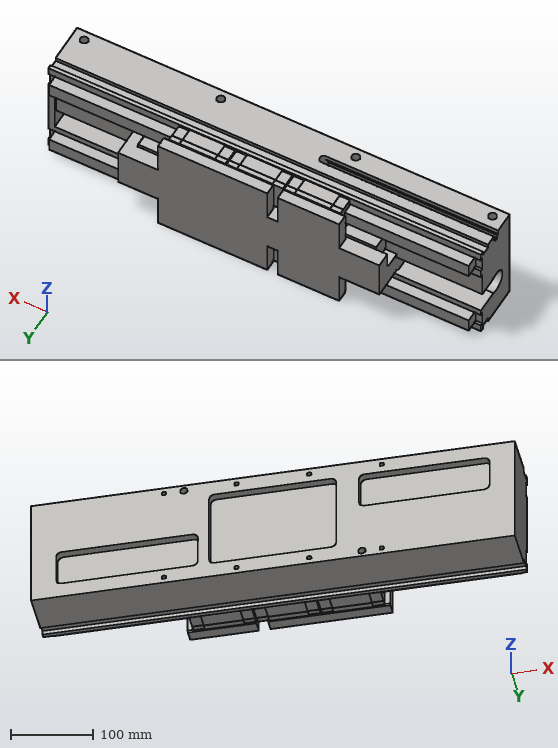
import cadquery as cq
import math


EPS = 6.0

base_length = 600.0
base_height = 148.0
base_depth = 72.0
mid_z = base_height / 2

rail_offset = 53.0
rail_width = 20.0
rail_seat_y = 68.5
rail_top_y = 86.5
rail_end_gap = 9.0

recess_top_z = 104.5
slot_center_z = 54.0
slot_width = 27.5
slot_bulb_radius = 15.5
slot_bulb_y = 33.5
slot_end_wall = 9.0

side_groove_y = 54.0
side_groove_width = 12.5
side_groove_depth = 5.5

cable_y = 34.0
cable_width = 11.0
cable_depth = 6.5
cable_inner_y = 33.5
cable_inner_width = 5.5
cable_inner_depth = 12.0
cable_hole_depth = 15.0
cable_end_x = 239.0

drill_tip_angle = 118.0
top_hole_diameter = 11.0
top_hole_depth = 15.0
top_hole_y = 12.5
top_hole_end_gap = 17.0
top_hole_inner_x = 206.5
face_hole_edge_gap = 8.5
screw_hole_diameter = 5.5
screw_hole_depth = 12.0
screw_hole_pitch = 90.0
screw_hole_count = 4
pin_hole_diameter = 9.0
pin_hole_depth = 12.0
pin_hole_x = 189.5

pocket_edge_gap = 20.5
pocket_depth = 10.0
pocket_corner_radius = 7.0
small_pocket_height = 49.0
pockets = {
    "left": (31.0, 207.0, pocket_edge_gap, pocket_edge_gap + small_pocket_height),
    "middle": (221.0, 378.5, pocket_edge_gap, base_height - pocket_edge_gap),
    "right": (
        407.0,
        569.0,
        base_height - pocket_edge_gap - small_pocket_height,
        base_height - pocket_edge_gap,
    ),
}

carriage_front_y = 114.0
core_start_x = 117.5
core_end_x = 480.0
core_half_height = 28.0
core_back_y = 70.0
neck_width = 24.0
neck_shoulder = 3.5
tip_start_y = 45.0
tip_end_y = 23.5
tip_chamfer = 6.0
tip_setback = 3.5

plate_start_x = 173.5
plate_end_x = 425.0
plate_back_y = 98.0
plate_chamfer = 2.0
notch_start_x = 258.5
notch_end_x = 273.0

block_count = 3
block_start_x = 180.5
block_length = 78.0
block_pitch = 80.0
block_width = 42.5
block_back_y = 72.5
flange_back_y = 90.5
flange_overhang = 0.5
cap_length = 14.5
cap_back_y = 74.0
cap_inset = 0.5
rail_top_clearance = 0.5
rail_side_clearance = 0.9

head_start_x = 134.0
head_end_x = 464.5
head_bottom_z = 77.0
head_front_y = 92.5
head_pocket_front_y = 94.0
head_corner_radius = 5.5


def box(x0, x1, y0, y1, z0, z1):
    """Box between the given limits."""
    return cq.Workplane("XY").box(x1 - x0, y1 - y0, z1 - z0, centered=False).translate((x0, y0, z0))


def mirrored(shape):
    """The same shape on the other side of mid height."""
    return shape.mirror("XY", (0, 0, mid_z))


def drill(diameter, depth):
    """Blind hole with a conical drill tip, cutting from the origin toward -Z."""
    radius = diameter / 2
    tip = radius / math.tan(math.radians(drill_tip_angle / 2))
    half_section = [(0, 0), (radius, 0), (radius, -depth), (0, -depth - tip)]
    return cq.Workplane("XZ").polyline(half_section).close().revolve(360, (0, 0), (0, 1))


def drill_down(diameter, depth, x, y):
    """Hole into the top face of the base."""
    return drill(diameter, depth).translate((x, y, base_height))


def drill_in(diameter, depth, x, z):
    """Hole into the mounting face of the base."""
    return drill(diameter, depth).rotate((0, 0, 0), (1, 0, 0), 90).translate((x, 0, z))


def make_rail():
    """Upper rail, seated in the base."""
    rail_z = mid_z + rail_offset
    return box(
        rail_end_gap, base_length - rail_end_gap,
        rail_seat_y, rail_top_y,
        rail_z - rail_width / 2, rail_z + rail_width / 2,
    )


def rail_seat():
    rail_z = mid_z + rail_offset
    return box(
        -EPS, base_length + EPS,
        rail_seat_y, base_depth + EPS,
        rail_z - rail_width / 2, rail_z + rail_width / 2,
    )


def motor_slot():
    """Recess behind the carriage core, and the slot with its round bulb."""
    x0 = -EPS
    x1 = base_length - slot_end_wall
    half = slot_width / 2
    recess = box(x0, x1, rail_seat_y, base_depth + EPS, slot_center_z, recess_top_z)
    slot = box(x0, x1, slot_bulb_y, base_depth + EPS, slot_center_z - half, slot_center_z + half)
    bulb = (
        cq.Workplane("YZ", origin=(x0, 0, 0))
        .center(slot_bulb_y, slot_center_z)
        .circle(slot_bulb_radius)
        .extrude(x1 - x0)
    )
    return recess.union(slot).union(bulb)


def side_groove():
    return box(
        -EPS, base_length + EPS,
        side_groove_y, side_groove_y + side_groove_width,
        base_height - side_groove_depth, base_height + EPS,
    )


def cable_groove():
    """Stepped groove from the -X end to a round hole."""
    steps = (
        (cable_y, cable_width, cable_depth),
        (cable_inner_y, cable_inner_width, cable_inner_depth),
    )
    groove = (
        cq.Workplane("XY", origin=(cable_end_x, cable_y, base_height - cable_hole_depth))
        .circle(cable_width / 2)
        .extrude(cable_hole_depth + EPS)
    )
    for center_y, width, depth in steps:
        step = box(
            -EPS, cable_end_x,
            center_y - width / 2, center_y + width / 2,
            base_height - depth, base_height + EPS,
        )
        groove = groove.union(step)
    return groove


def face_pocket(x0, x1, z0, z1):
    """Rounded pocket in the mounting face."""
    pocket = box(x0, x1, -EPS, pocket_depth, z0, z1)
    return pocket.edges("|Y").fillet(pocket_corner_radius)


def make_base():
    base = box(0, base_length, 0, base_depth, 0, base_height)
    for cutter in (rail_seat(), side_groove()):
        base = base.cut(cutter).cut(mirrored(cutter))
    base = base.cut(motor_slot()).cut(cable_groove())

    for limits in pockets.values():
        base = base.cut(face_pocket(*limits))

    for x in (top_hole_end_gap, top_hole_inner_x):
        for hole_x in (x, base_length - x):
            base = base.cut(drill_down(top_hole_diameter, top_hole_depth, hole_x, top_hole_y))

    low_z = face_hole_edge_gap
    high_z = base_height - face_hole_edge_gap
    first_x = base_length / 2 - screw_hole_pitch * (screw_hole_count - 1) / 2
    for i in range(screw_hole_count):
        for z in (low_z, high_z):
            hole_x = first_x + i * screw_hole_pitch
            base = base.cut(drill_in(screw_hole_diameter, screw_hole_depth, hole_x, z))
    for x, z in ((pin_hole_x, high_z), (base_length - pin_hole_x, low_z)):
        base = base.cut(drill_in(pin_hole_diameter, pin_hole_depth, x, z))
    return base


def carriage_core():
    """Central beam with the neck that reaches into the motor slot."""
    top_z = mid_z + core_half_height
    bottom_z = mid_z - core_half_height
    neck_top = slot_center_z + neck_width / 2
    neck_bottom = slot_center_z - neck_width / 2
    section = [
        (carriage_front_y, bottom_z),
        (carriage_front_y, top_z),
        (core_back_y, top_z),
        (core_back_y, neck_top + neck_shoulder),
        (core_back_y - neck_shoulder, neck_top),
        (tip_start_y, neck_top),
        (tip_start_y, neck_bottom),
        (core_back_y - (bottom_z - neck_bottom), neck_bottom),
        (core_back_y, bottom_z),
    ]
    core = (
        cq.Workplane("YZ", origin=(core_start_x, 0, 0))
        .polyline(section).close()
        .extrude(core_end_x - core_start_x)
    )
    tip = box(
        core_start_x + tip_setback, core_end_x - tip_setback,
        tip_end_y, tip_start_y,
        neck_bottom, neck_top,
    )
    return core.union(tip.edges("|X and <Y").chamfer(tip_chamfer))


def head_pocket():
    """Pocket for the reading head, open at the -X end, with one rounded inner corner."""
    pocket = box(
        core_start_x - EPS, head_end_x,
        core_back_y - EPS, head_pocket_front_y,
        head_bottom_z, recess_top_z + EPS,
    )
    return pocket.edges("|X and >Y and <Z").fillet(head_corner_radius)


def side_plate():
    """Upper flank of the carriage, split by a notch."""
    plate = box(plate_start_x, plate_end_x, plate_back_y, carriage_front_y, mid_z, base_height)
    plate = plate.edges("|X and <Y and >Z").chamfer(plate_chamfer)
    notch = box(
        notch_start_x, notch_end_x,
        plate_back_y - EPS, carriage_front_y + EPS,
        mid_z, base_height + EPS,
    )
    return plate.cut(notch)


def stepped_bar(x0, x1, back_y, half):
    """Bar against the side plate, whose flange overhangs the rest of it a little."""
    block_z = mid_z + rail_offset
    narrow = half - flange_overhang
    shank = box(x0, x1, back_y, plate_back_y, block_z - narrow, block_z + narrow)
    flange = box(x0, x1, flange_back_y, plate_back_y, block_z - half, block_z + half)
    return shank.union(flange)


def bearing_block():
    """Block around the upper rail, with an end cap on each end."""
    caps = stepped_bar(0, block_length, cap_back_y, block_width / 2 - cap_inset)
    body = stepped_bar(cap_length, block_length - cap_length, block_back_y, block_width / 2)
    rail_z = mid_z + rail_offset
    passage_half = rail_width / 2 + rail_side_clearance
    passage = box(
        -EPS, block_length + EPS,
        block_back_y - EPS, rail_top_y + rail_top_clearance,
        rail_z - passage_half, rail_z + passage_half,
    )
    return caps.union(body).cut(passage)


def make_carriage():
    upper_flank = side_plate()
    block = bearing_block()
    for i in range(block_count):
        upper_flank = upper_flank.union(block.translate((block_start_x + i * block_pitch, 0, 0)))
    core = carriage_core().cut(head_pocket())
    return core.union(upper_flank).union(mirrored(upper_flank))


def make_reading_head():
    """Bar in the carriage pocket, facing the recess of the base."""
    head = box(head_start_x, head_end_x, rail_seat_y, head_front_y, head_bottom_z, recess_top_z)
    return head.edges("|X and >Y and <Z").fillet(head_corner_radius)


base = make_base()
upper_rail = make_rail()
rails = [upper_rail, mirrored(upper_rail)]
carriage = make_carriage()
reading_head = make_reading_head()

result = cq.Compound.makeCompound(
    [
        base.val(),
        *[rail.val() for rail in rails],
        carriage.val(),
        reading_head.val(),
    ]
)